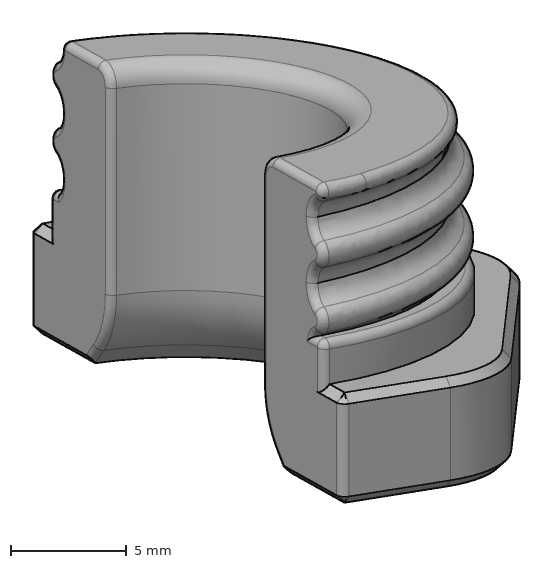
import cadquery as cq
import math

width = 28.5
height = 14.0
flange_height = 5.0
hex_corner_radius = 5.0
collar_top = 6.98
collar_radius = 12.48
edge_size = 0.4
split_fillet = 0.37
flange_shoulder = flange_height - edge_size

bore_radius = 7.0
bore_top_fillet = 1.0
mouth_radius = 9.0
mouth_arc_radius = 4.0

pitch = 3.0
crest_radius = 12.43
thread_depth = 1.0
crest_round = 0.65
crest_height = 7.75
spare_teeth = 2
tooth_count = 7
thread_inner_radius = 5.7
overrun = 10.0

tolerance = 0.003


def arc_point(center, radius, angle):
    """Point on a circle, with the angle in radians."""
    return (center[0] + radius * math.cos(angle), center[1] + radius * math.sin(angle))


def flange(kept_half):
    """Half hexagonal flange with rounded corners, chamfered all around both rims."""
    across_corners = width / math.cos(math.pi / 6)
    hexagon = cq.Workplane("XY").polygon(6, across_corners).extrude(flange_height)
    hexagon = hexagon.rotate((0, 0, 0), (0, 0, 1), 30)
    half = hexagon.edges("|Z").fillet(hex_corner_radius).intersect(kept_half)
    return half.edges("|Z and <Y").fillet(edge_size).faces("<Z or >Z").chamfer(edge_size)


def collar():
    """Plain round collar with a rounded top rim."""
    return cq.Workplane("XY").circle(collar_radius).extrude(collar_top).faces(">Z").edges().fillet(edge_size)


def thread():
    """Toothed radial section swept along a helix, trimmed to the height above the collar."""
    flank_angle = 2 * math.atan(thread_depth / (pitch / 2))
    root_round = pitch / 2 / math.sin(flank_angle) - crest_round
    root_radius = crest_radius - thread_depth
    root_center_x = root_radius + root_round
    crest_center_x = crest_radius - crest_round

    start_drop = pitch * overrun / 360
    bottom = crest_height - start_drop - (spare_teeth + 0.5) * pitch
    section = cq.Workplane("XZ").moveTo(thread_inner_radius, bottom).lineTo(root_radius, bottom)
    for tooth in range(tooth_count):
        low_root = (root_center_x, bottom + tooth * pitch)
        crest = (crest_center_x, low_root[1] + pitch / 2)
        high_root = (root_center_x, low_root[1] + pitch)
        section = section.threePointArc(
            arc_point(low_root, root_round, math.pi - flank_angle / 2),
            arc_point(low_root, root_round, math.pi - flank_angle),
        )
        section = section.threePointArc((crest_radius, crest[1]), arc_point(crest, crest_round, flank_angle))
        section = section.threePointArc(
            arc_point(high_root, root_round, math.pi + flank_angle / 2),
            (root_radius, high_root[1]),
        )
    section = section.lineTo(thread_inner_radius, bottom + tooth_count * pitch).close()

    sweep_angle = 180 + 2 * overrun
    helix = cq.Wire.makeHelix(pitch, pitch * sweep_angle / 360, crest_radius)
    swept = section.sweep(cq.Workplane(helix), isFrenet=True)
    swept = swept.rotate((0, 0, 0), (0, 0, 1), -overrun)
    slab = cq.Workplane("XY").workplane(offset=collar_top).rect(width, width).extrude(height - collar_top)
    return swept.intersect(slab)


def bore():
    """Bore cutter: rounded at the top, flared by an arc and a 45 degree cone at the bottom."""
    slope = math.pi / 4
    flare_radius = bore_radius + mouth_arc_radius * (1 - math.cos(slope))
    flare_height = mouth_radius - flare_radius
    flare_center = (bore_radius + mouth_arc_radius, flare_height + mouth_arc_radius * math.sin(slope))
    top_center = (bore_radius + bore_top_fillet, height - bore_top_fillet)
    return (
        cq.Workplane("XZ")
        .lineTo(mouth_radius, 0)
        .lineTo(flare_radius, flare_height)
        .threePointArc(
            arc_point(flare_center, mouth_arc_radius, math.pi + slope / 2),
            (bore_radius, flare_center[1]),
        )
        .lineTo(bore_radius, top_center[1])
        .threePointArc(arc_point(top_center, bore_top_fillet, math.pi - slope), (top_center[0], height))
        .lineTo(0, height)
        .close()
        .revolve(360, (0, 0, 0), (0, 1, 0))
    )


def on_unfinished_outline(edge):
    """Split face edges along the bore, collar and thread; the flange is already chamfered."""
    in_flange = edge.BoundingBox().zmax < flange_shoulder + tolerance
    return not in_flange or abs(edge.Center().x) < mouth_radius


rear_half = cq.Workplane("XY").box(2 * width, width, 2 * height, centered=(True, False, True))
below_shoulder = cq.Workplane("XY").rect(2 * width, 2 * width).extrude(flange_shoulder)
neck = collar().union(thread()).intersect(rear_half).cut(below_shoulder)
body = flange(rear_half).union(neck).cut(bore())

body = body.faces(">Z").edges("not(%LINE or %CIRCLE)").fillet(edge_size)

result = body.faces("<Y").edges().filter(on_unfinished_outline).fillet(split_fillet)